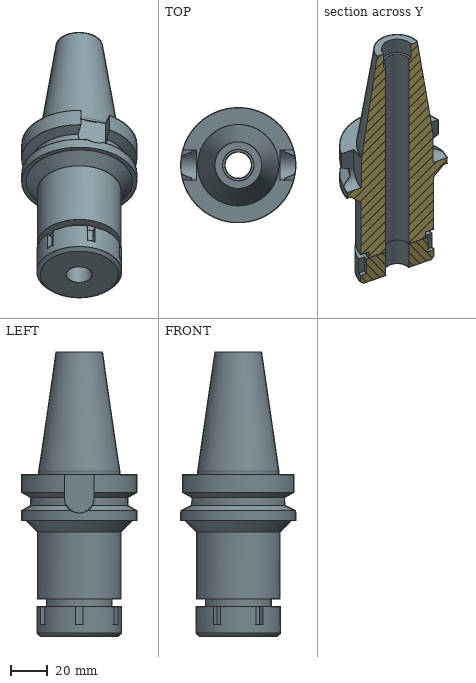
import cadquery as cq

TOTAL_HEIGHT = 155.4
NUT_TOP = 16.3
BODY_BOTTOM = 20.5
CONE_BOTTOM = 57.0
FLANGE_BOTTOM = 63.2
GROOVE_LOWER_EDGE = 68.7
GROOVE_ROOT_BOTTOM = 71.5
GROOVE_ROOT_TOP = 75.8
GROOVE_UPPER_EDGE = 78.6
FLANGE_TOP = 88.5
TAPER_BOTTOM = 90.3

NECK_RADIUS = 18.0
BODY_RADIUS = 22.8
CONE_TOP_RADIUS = 29.0
FLANGE_RADIUS = 31.47
GROOVE_RADIUS = 26.5
TAPER_LARGE_RADIUS = 22.2
TAPER_SMALL_RADIUS = 12.7

BORE_RADIUS = 7.1
COUNTERBORE_RADIUS = 8.5
COUNTERBORE_DEPTH = 9.3

KEYWAY_WIDTH = 16.3
KEYWAY_FLOOR_OFFSET = 22.7
KEYWAY_BOTTOM = 67.5

NUT_RADIUS = 23.2
NUT_CHAMFER = 1.9
NUT_SLOT_COUNT = 6
NUT_SLOT_WIDTH = 4.4
NUT_SLOT_BOTTOM = 6.5
NUT_SLOT_FLOOR_OFFSET = 19.5


def make_keyway_cutter():
    """Round-bottomed key shape on the +X side, open at the flange top."""
    end_radius = KEYWAY_WIDTH / 2
    arc_center = KEYWAY_BOTTOM + end_radius
    return (
        cq.Workplane("YZ")
        .workplane(offset=KEYWAY_FLOOR_OFFSET)
        .moveTo(-end_radius, FLANGE_TOP)
        .lineTo(-end_radius, arc_center)
        .threePointArc((0, KEYWAY_BOTTOM), (end_radius, arc_center))
        .lineTo(end_radius, FLANGE_TOP)
        .close()
        .extrude(FLANGE_RADIUS - KEYWAY_FLOOR_OFFSET)
    )


def make_holder():
    """Tapered shank, grooved flange, body and neck, revolved about Z."""
    profile = [
        (BORE_RADIUS, NUT_TOP),
        (NECK_RADIUS, NUT_TOP),
        (NECK_RADIUS, BODY_BOTTOM),
        (BODY_RADIUS, BODY_BOTTOM),
        (BODY_RADIUS, CONE_BOTTOM),
        (CONE_TOP_RADIUS, FLANGE_BOTTOM),
        (FLANGE_RADIUS, FLANGE_BOTTOM),
        (FLANGE_RADIUS, GROOVE_LOWER_EDGE),
        (GROOVE_RADIUS, GROOVE_ROOT_BOTTOM),
        (GROOVE_RADIUS, GROOVE_ROOT_TOP),
        (FLANGE_RADIUS, GROOVE_UPPER_EDGE),
        (FLANGE_RADIUS, FLANGE_TOP),
        (TAPER_LARGE_RADIUS, FLANGE_TOP),
        (TAPER_LARGE_RADIUS, TAPER_BOTTOM),
        (TAPER_SMALL_RADIUS, TOTAL_HEIGHT),
        (COUNTERBORE_RADIUS, TOTAL_HEIGHT),
        (COUNTERBORE_RADIUS, TOTAL_HEIGHT - COUNTERBORE_DEPTH),
        (BORE_RADIUS, TOTAL_HEIGHT - COUNTERBORE_DEPTH),
    ]
    holder = cq.Workplane("XZ").polyline(profile).close().revolve(360, (0, 0), (0, 1))
    keyway = make_keyway_cutter()
    for angle in (0, 180):
        holder = holder.cut(keyway.rotate((0, 0, 0), (0, 0, 1), angle))
    return holder


def make_nut():
    """Chamfered ring with wrench slots open at its top and outer side."""
    nut = (
        cq.Workplane("XY")
        .circle(NUT_RADIUS)
        .extrude(NUT_TOP)
        .faces("<Z")
        .chamfer(NUT_CHAMFER)
        .cut(cq.Workplane("XY").circle(BORE_RADIUS).extrude(NUT_TOP))
    )
    slot = (
        cq.Workplane("XY")
        .box(
            NUT_RADIUS - NUT_SLOT_FLOOR_OFFSET,
            NUT_SLOT_WIDTH,
            NUT_TOP - NUT_SLOT_BOTTOM,
            centered=(False, True, False),
        )
        .translate((NUT_SLOT_FLOOR_OFFSET, 0, NUT_SLOT_BOTTOM))
    )
    for index in range(NUT_SLOT_COUNT):
        nut = nut.cut(slot.rotate((0, 0, 0), (0, 0, 1), index * 360 / NUT_SLOT_COUNT))
    return nut


holder = make_holder()
nut = make_nut()
result = cq.Compound.makeCompound([holder.solids().val(), nut.solids().val()])